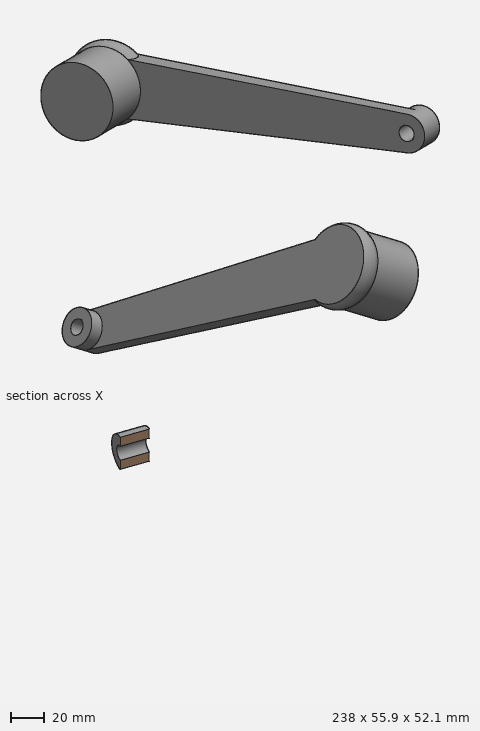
import cadquery as cq
import math

overall_length = 238.0
knob_diameter = 48.0
rim_diameter = 52.1
rim_thickness = 12.1
knob_length = 34.8
boss_diameter = 24.0
boss_height = 9.0
hole_diameter = 10.0
arm_root_half_width = 18.0
arm_tip_thickness = 10.0

knob_radius = knob_diameter / 2
rim_radius = rim_diameter / 2
boss_radius = boss_diameter / 2
boss_x = overall_length - rim_radius - boss_radius
taper_start = knob_radius
taper_end = boss_x - boss_radius

root_to_boss = boss_x - taper_start
edge_angle = (math.atan2(arm_root_half_width, root_to_boss)
              - math.asin(boss_radius / math.hypot(root_to_boss, arm_root_half_width)))
tangent_x = boss_x + boss_radius * math.sin(edge_angle)
tangent_z = boss_radius * math.cos(edge_angle)
arm_axis_half_width = arm_root_half_width + taper_start * math.tan(edge_angle)


def cylinder_along_y(x, radius, y_front, y_back):
    """Cylinder parallel to Y between two Y positions, centred at Z = 0."""
    plane = cq.Workplane("XZ", origin=(x, y_back, 0))
    return plane.circle(radius).extrude(y_back - y_front)


def make_knob():
    """Plain grip behind which the bulged rim, a barrel-shaped disc, is revolved."""
    rim_and_grip = (
        cq.Workplane("XY")
        .moveTo(0, 0)
        .lineTo(knob_radius, 0)
        .threePointArc((rim_radius, -rim_thickness / 2), (knob_radius, -rim_thickness))
        .lineTo(knob_radius, -rim_thickness - knob_length)
        .lineTo(0, -rim_thickness - knob_length)
        .close()
    )
    return rim_and_grip.revolve(360, (0, 0, 0), (0, 1, 0))


def make_arm():
    """Arm tapering in width and in thickness, with a rounded tip."""
    outline = (
        cq.Workplane("XZ")
        .moveTo(0, -arm_axis_half_width)
        .lineTo(tangent_x, -tangent_z)
        .threePointArc((boss_x + boss_radius, 0), (tangent_x, tangent_z))
        .lineTo(0, arm_axis_half_width)
        .close()
        .extrude(rim_thickness)
    )
    thickness_profile = (
        cq.Workplane("XY")
        .moveTo(0, 0)
        .lineTo(boss_x + boss_radius, 0)
        .lineTo(boss_x + boss_radius, -arm_tip_thickness)
        .lineTo(taper_end, -arm_tip_thickness)
        .lineTo(taper_start, -rim_thickness)
        .lineTo(0, -rim_thickness)
        .close()
        .extrude(rim_radius, both=True)
    )
    return outline.intersect(thickness_profile)


boss = cylinder_along_y(boss_x, boss_radius, -arm_tip_thickness, boss_height)
hole = cylinder_along_y(boss_x, hole_diameter / 2, -arm_tip_thickness, boss_height)

result = make_knob().union(make_arm()).union(boss).cut(hole)